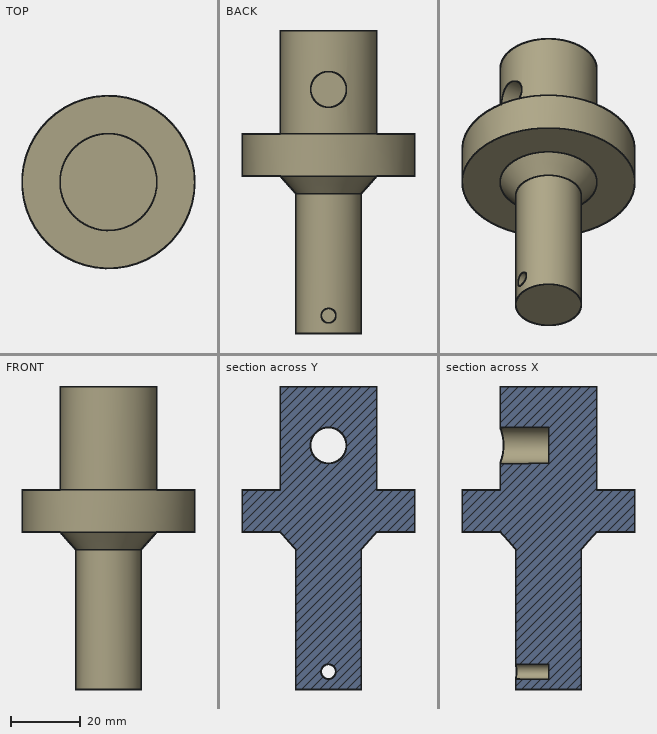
import cadquery as cq

total_height = 87.5
flange_diameter = 50.0
flange_bottom = 45.5
flange_top = 57.7
upper_shaft_diameter = 28.0
lower_shaft_diameter = 19.0
cone_bottom = 40.4

upper_hole_diameter = 10.3
upper_hole_height = 70.5
lower_hole_diameter = 4.2
lower_hole_height = 5.2


def turned_body():
    """Stepped shaft with a flange and a conical shoulder below it."""
    flange_radius = flange_diameter / 2
    upper_radius = upper_shaft_diameter / 2
    lower_radius = lower_shaft_diameter / 2
    half_section = (
        cq.Workplane("XZ")
        .moveTo(0, 0)
        .lineTo(lower_radius, 0)
        .lineTo(lower_radius, cone_bottom)
        .lineTo(upper_radius, flange_bottom)
        .lineTo(flange_radius, flange_bottom)
        .lineTo(flange_radius, flange_top)
        .lineTo(upper_radius, flange_top)
        .lineTo(upper_radius, total_height)
        .lineTo(0, total_height)
        .close()
    )
    return half_section.revolve(360, (0, 0, 0), (0, 1, 0))


def radial_hole(diameter, height):
    """Cutter running from the shaft axis out past the +Y surface."""
    return (
        cq.Workplane("XZ")
        .center(0, height)
        .circle(diameter / 2)
        .extrude(-flange_diameter / 2)
    )


result = (
    turned_body()
    .cut(radial_hole(upper_hole_diameter, upper_hole_height))
    .cut(radial_hole(lower_hole_diameter, lower_hole_height))
)